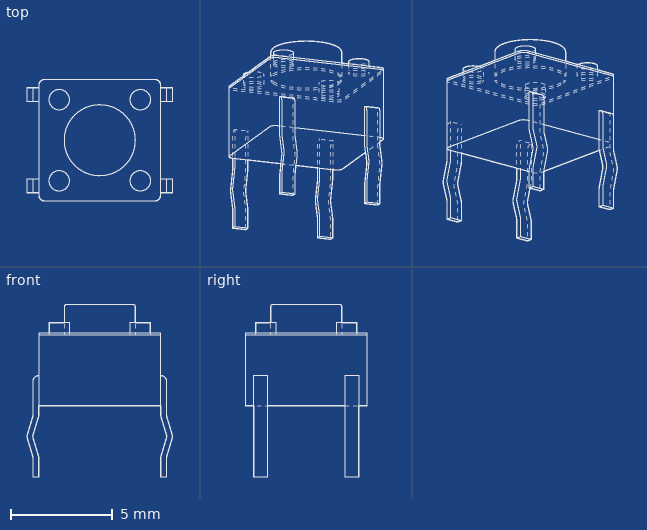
import cadquery as cq
import math

TOTAL_HEIGHT = 8.5
BODY_SIDE = 6.0
BODY_HEIGHT = 3.6
BODY_CORNER_RADIUS = 0.3

COVER_THICKNESS = 0.1
HOUSING_HEIGHT = BODY_HEIGHT - COVER_THICKNESS

LEG_THICKNESS = 0.3
LEG_WIDTH = 0.7
LEG_SPACING = 4.5
LEG_TOP = 1.5
LEG_BOTTOM = -3.5
LEG_BEND_RADIUS = 0.29
KINK_TOP = -0.5
KINK_HALF_HEIGHT = 1.0
KINK_SPAN = 7.2

BUTTON_DIAMETER = 3.5
BUTTON_TOP = LEG_BOTTOM + TOTAL_HEIGHT
BUTTON_EDGE_RADIUS = 0.1

PEG_DIAMETER = 1.0
PEG_SPACING = 3.995
PEG_EXPOSED_HEIGHT = 0.5
PEG_LENGTH = COVER_THICKNESS + PEG_EXPOSED_HEIGHT


def square_positions(spacing):
    """Four (x, y) points at the corners of a square centred on the Z axis."""
    half = spacing / 2
    return [(x, y) for x in (-half, half) for y in (-half, half)]


def make_rounded_block(bottom, height):
    return (
        cq.Workplane("XY", origin=(0, 0, bottom))
        .rect(BODY_SIDE, BODY_SIDE)
        .extrude(height)
        .edges("|Z")
        .fillet(BODY_CORNER_RADIUS)
    )


def make_housing():
    """Block with the button standing on its top face."""
    block = make_rounded_block(0, HOUSING_HEIGHT)
    button = (
        cq.Workplane("XY", origin=(0, 0, HOUSING_HEIGHT))
        .circle(BUTTON_DIAMETER / 2)
        .extrude(BUTTON_TOP - HOUSING_HEIGHT)
        .faces(">Z")
        .edges()
        .fillet(BUTTON_EDGE_RADIUS)
    )
    return block.union(button)


def make_cover():
    """Plate with one hole for the button and one for each peg."""
    plate = make_rounded_block(HOUSING_HEIGHT, COVER_THICKNESS)
    holes = (
        cq.Workplane("XY", origin=(0, 0, HOUSING_HEIGHT))
        .circle(BUTTON_DIAMETER / 2)
        .pushPoints(square_positions(PEG_SPACING))
        .circle(PEG_DIAMETER / 2)
        .extrude(COVER_THICKNESS)
    )
    return plate.cut(holes)


def make_peg(x, y):
    return (
        cq.Workplane("XY", origin=(x, y, HOUSING_HEIGHT))
        .circle(PEG_DIAMETER / 2)
        .extrude(PEG_LENGTH)
    )


def make_right_leg(y):
    """Leg on the +X wall, centred at y, with an outward kink below the housing."""
    inner = BODY_SIDE / 2
    outer = inner + LEG_THICKNESS
    outer_peak = KINK_SPAN / 2
    inner_peak = outer_peak - LEG_THICKNESS
    kink_middle = KINK_TOP - KINK_HALF_HEIGHT
    kink_bottom = kink_middle - KINK_HALF_HEIGHT

    arc_x = outer - LEG_BEND_RADIUS
    arc_z = LEG_TOP - LEG_BEND_RADIUS
    arc_shift = LEG_BEND_RADIUS * math.sqrt(0.5)

    strip = (
        cq.Workplane("XZ", origin=(0, y + LEG_WIDTH / 2, 0))
        .moveTo(inner, LEG_TOP)
        .lineTo(arc_x, LEG_TOP)
        .threePointArc((arc_x + arc_shift, arc_z + arc_shift), (outer, arc_z))
        .lineTo(outer, KINK_TOP)
        .lineTo(outer_peak, kink_middle)
        .lineTo(outer, kink_bottom)
        .lineTo(outer, LEG_BOTTOM)
        .lineTo(inner, LEG_BOTTOM)
        .lineTo(inner, kink_bottom)
        .lineTo(inner_peak, kink_middle)
        .lineTo(inner, KINK_TOP)
        .close()
        .extrude(LEG_WIDTH)
    )

    margin = LEG_THICKNESS
    bend_zone = cq.selectors.BoxSelector(
        (inner - margin, y - LEG_WIDTH, kink_bottom - margin),
        (outer_peak + margin, y + LEG_WIDTH, KINK_TOP + margin),
    )
    return strip.edges("|Y").edges(bend_zone).fillet(LEG_BEND_RADIUS)


def make_leg_pair(y):
    """Matching legs on the +X and -X walls."""
    right_leg = make_right_leg(y)
    return [right_leg, right_leg.mirror("YZ")]


housing = make_housing()
cover = make_cover()

pegs = []
for peg_x, peg_y in square_positions(PEG_SPACING):
    pegs.append(make_peg(peg_x, peg_y))

legs = []
for leg_y in (-LEG_SPACING / 2, LEG_SPACING / 2):
    legs.extend(make_leg_pair(leg_y))

result = cq.Compound.makeCompound(
    [body.val() for body in [housing, cover, *pegs, *legs]]
)